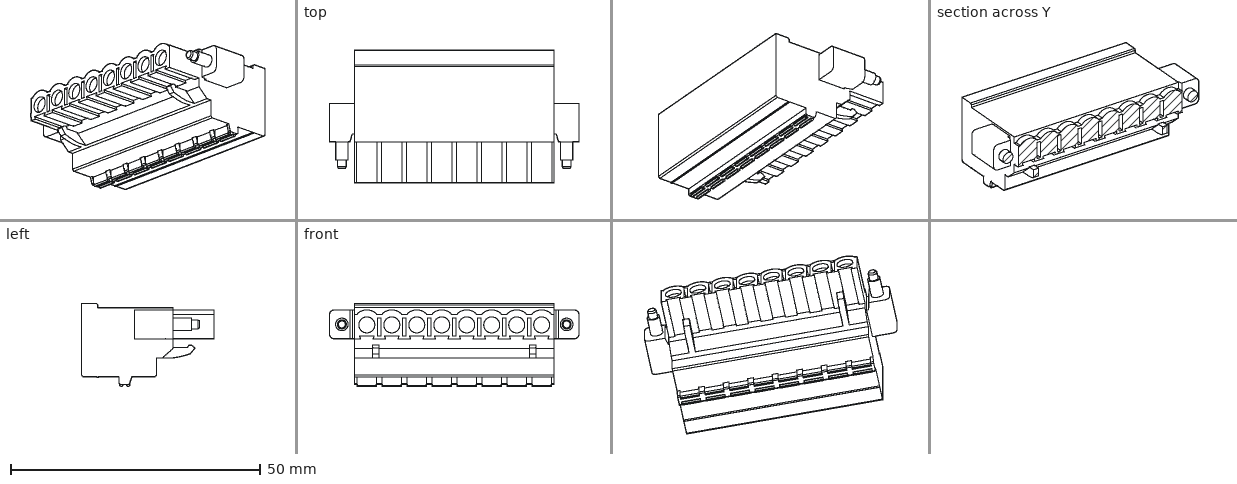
import cadquery as cq


pole_count = 8
pole_pitch = 5.0
body_width = pole_count * pole_pitch
pole_places = [(i - (pole_count - 1) / 2) * pole_pitch for i in range(pole_count)]
gap_places = [(i - pole_count / 2) * pole_pitch for i in range(1, pole_count)]

body_top = 13.9
body_depth = 18.4
lower_depth = 15.1
lower_top = 3.75
slope_start_depth = 16.2
slope_top = 5.7
edge_chamfer = 0.35
rail_top = 14.75
rail_depth = 3.3
rail_chamfer = 0.3
ridge_depth = 3.25
ridge_radius = 0.15

plug_top = 13.45
plug_bottom = 7.6
plug_depth = 26.6
plug_length = plug_depth - body_depth
socket_height = 10.4
socket_radius = 1.6
socket_depth = 1.0
valley_height = 12.45
crown_half_width = 2.05
slit_width = 0.7
slit_top = 11.75
notch_top = 8.2
notch_top_width = 2.95
notch_mouth_width = 2.5

overall_width = 50.1
flange_back = 10.65
flange_fillet = 1.0
relief_depth = 16.85
relief_floor = 0.4
relief_mouth = 0.85
screw_place = 22.55
screw_height = (plug_top + plug_bottom) / 2
screw_radius = 1.25
screw_end = 22.05
tip_radius = 0.9
tip_end = 23.7
tip_bevel_length = 0.35
tip_bevel_inset = 0.2

latch_place = 15.75
latch_width = 1.3
latch_top = 5.9
barb_back = 21.25
barb_crest_back = 21.55
barb_crest_front = 22.1
barb_top = 6.35
latch_tip = 22.8
latch_tip_height = 5.75
latch_curve_start = 18.3
latch_curve_middle = 20.15
latch_curve_middle_height = 4.1
latch_curve_end = 21.85
latch_curve_height = 4.6

rib_back = 7.5
rib_front = 10.1
rib_toe_front = 9.7
rib_bottom = -1.55
rib_chamfer = 0.25
pad_width = 3.85
foot_width = 0.7
foot_bottom = -1.95
foot_chamfer = 0.25


def extrude_x(profile, width, middle=0.0):
    """Extrude a profile given as (Y, Z) along X, centred on middle."""
    return profile.extrude(width / 2, both=True).translate((middle, 0, 0))


def front_plane(depth):
    """Sketch plane at a depth in front of the rear face; X right, Z up, pointing to -Y."""
    return cq.Workplane("XZ", origin=(0, -depth, 0))


def make_body():
    outline = cq.Workplane("YZ").polyline([
        (0, edge_chamfer),
        (0, rail_top),
        (-rail_depth + rail_chamfer, rail_top),
        (-rail_depth, rail_top - rail_chamfer),
        (-rail_depth, body_top),
        (-body_depth, body_top),
        (-body_depth, slope_top),
        (-slope_start_depth, lower_top),
        (-lower_depth, lower_top),
        (-lower_depth, edge_chamfer),
        (-lower_depth + edge_chamfer, 0),
        (-edge_chamfer, 0),
    ]).close()
    ridge = cq.Workplane("YZ").center(-ridge_depth, 0).circle(ridge_radius)
    return extrude_x(outline, body_width).union(extrude_x(ridge, body_width))


def make_plug():
    plug = (
        front_plane(body_depth)
        .center(0, (plug_bottom + valley_height) / 2)
        .rect(body_width, valley_height - plug_bottom)
        .extrude(plug_length)
    )
    for x in pole_places:
        crown = (
            front_plane(body_depth)
            .moveTo(x - crown_half_width, valley_height)
            .threePointArc((x, plug_top), (x + crown_half_width, valley_height))
            .close()
            .extrude(plug_length)
        )
        notch = (
            front_plane(body_depth)
            .polyline([
                (x - notch_top_width / 2, notch_top),
                (x + notch_top_width / 2, notch_top),
                (x + notch_mouth_width / 2, plug_bottom),
                (x - notch_mouth_width / 2, plug_bottom),
            ])
            .close()
            .extrude(plug_length)
        )
        socket = (
            front_plane(plug_depth)
            .center(x, socket_height)
            .circle(socket_radius)
            .extrude(-socket_depth)
        )
        plug = plug.union(crown).cut(notch).cut(socket)
    for x in gap_places:
        slit = (
            front_plane(body_depth)
            .center(x, (slit_top + notch_top) / 2)
            .rect(slit_width, slit_top - notch_top)
            .extrude(plug_length)
        )
        plug = plug.cut(slit)
    return plug


def make_flange():
    """Flange and screw on the +X side."""
    inner = body_width / 2
    outer = overall_width / 2
    block = (
        cq.Workplane("XY", origin=(0, 0, plug_bottom))
        .polyline([
            (inner, -flange_back),
            (outer, -flange_back),
            (outer, -body_depth),
            (inner + relief_mouth, -body_depth),
            (inner + relief_floor, -relief_depth),
            (inner, -relief_depth),
        ])
        .close()
        .extrude(plug_top - plug_bottom)
        .edges("|Y and >X")
        .fillet(flange_fillet)
    )
    shank = (
        front_plane(body_depth)
        .center(screw_place, screw_height)
        .circle(screw_radius)
        .extrude(screw_end - body_depth)
    )
    tip = (
        front_plane(screw_end)
        .center(screw_place, screw_height)
        .circle(tip_radius)
        .extrude(tip_end - screw_end)
        .faces("<Y")
        .chamfer(tip_bevel_length, tip_bevel_inset)
    )
    return block.union(shank).union(tip)


def make_latch(x):
    """Hooked arm with a curved underside, growing out of the sloped face."""
    outline = (
        cq.Workplane("YZ")
        .moveTo(-slope_start_depth, lower_top)
        .lineTo(-slope_start_depth, latch_top)
        .lineTo(-barb_back, latch_top)
        .lineTo(-barb_crest_back, barb_top)
        .lineTo(-barb_crest_front, barb_top)
        .lineTo(-latch_tip, latch_tip_height)
        .lineTo(-latch_curve_end, latch_curve_height)
        .threePointArc(
            (-latch_curve_middle, latch_curve_middle_height),
            (-latch_curve_start, lower_top),
        )
        .close()
    )
    return extrude_x(outline, latch_width, x)


def make_foot(back):
    """Chamfered foot strip as wide as a pad, from its rear edge forward."""
    outline = cq.Workplane("YZ").polyline([
        (-back, rib_bottom + rib_chamfer),
        (-back, foot_bottom + foot_chamfer),
        (-back - foot_chamfer, foot_bottom),
        (-back - foot_width + foot_chamfer, foot_bottom),
        (-back - foot_width, foot_bottom + foot_chamfer),
        (-back - foot_width, rib_bottom + rib_chamfer),
    ]).close()
    return extrude_x(outline, pad_width)


def make_rib():
    """Rib across the underside, with a flat-fronted pad and two feet below each pole."""
    outline = cq.Workplane("YZ").polyline([
        (-rib_back, 0),
        (-rib_back, rib_bottom + rib_chamfer),
        (-rib_back - rib_chamfer, rib_bottom),
        (-rib_toe_front + rib_chamfer, rib_bottom),
        (-rib_toe_front, rib_bottom + rib_chamfer),
        (-rib_front, 0),
    ]).close()
    rib = extrude_x(outline, body_width)
    trim_depth = rib_front - rib_toe_front
    trim = cq.Workplane("XY", origin=(0, -rib_toe_front - trim_depth / 2, 0))
    trim = trim.rect(pad_width, trim_depth).extrude(rib_bottom)
    rear_foot = make_foot(rib_back + rib_chamfer / 2)
    front_foot = make_foot(rib_toe_front - foot_width)
    for x in pole_places:
        rib = rib.cut(trim.translate((x, 0, 0)))
        for foot in (rear_foot, front_foot):
            rib = rib.union(foot.translate((x, 0, 0)))
    return rib


flange = make_flange()
result = make_body().union(make_plug()).union(make_rib())
result = result.union(flange).union(flange.mirror("YZ"))
for latch_x in (-latch_place, latch_place):
    result = result.union(make_latch(latch_x))